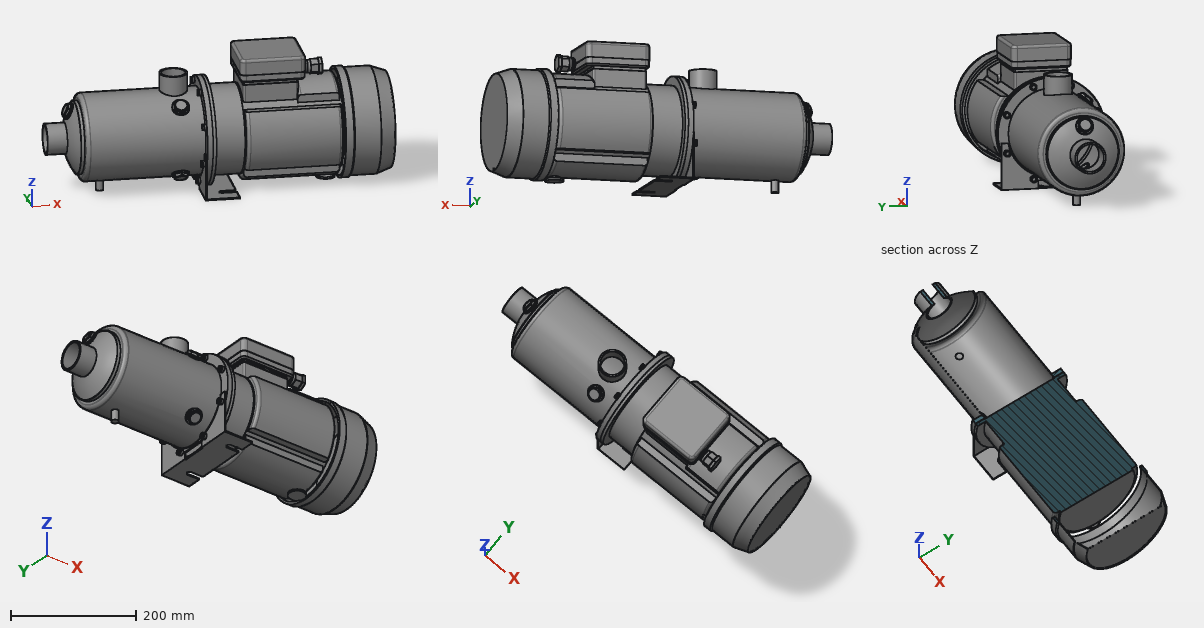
import cadquery as cq
import math


inlet_outer_d = 50.5
inlet_bore_d = 44.5
outlet_outer_d = 45.0
outlet_bore_d = 39.0
outlet_x = 208.0
outlet_top_z = 100.0
drain_d = 12.0
drain_x = 88.5
barrel_d = 143.0
barrel_bore_d = 140.0
casing_wall = (barrel_d - barrel_bore_d) / 2
barrel_start_x = 54.0
barrel_edge_r = 7.0
dome_rim_r = 59.5
dome_rim_x = 48.0
dome_sphere_r = 102.0
dome_center_x = dome_rim_x + math.sqrt(dome_sphere_r**2 - dome_rim_r**2)
flange_d = 176.5
flange_x = 248.0
flange_split_x = 256.5
ground_z = -90.5

screw_count = 8
screw_circle_r = 80.5
screw_d = 10.0
screw_shank_d = 5.0
screw_head_h = 6.0
socket_d = 7.0
socket_depth = 3.0

plug_collar_d = 28.0
plug_collar_h = 3.0
plug_hex_corner_d = 24.0
plug_top_d = 19.0
plug_h = 8.5
plug_seat_depth = 3.5
plug_stem_d = 20.0
side_plug_x = 211.5
side_plug_angle = 51
dome_plug_angle = 26

sheet = 2.0
bracket_width = 165.5
bracket_top_z = -15.0
bracket_end_x = 301.0
bracket_arch_r = 73.5
window_width = 45.0
window_top_z = -77.0
slot_width = 10.0
slot_y = 51.5
slot_length = 28.0

adaptor_flange_end_x = 262.0
adaptor_d = 146.5
adaptor_end_x = 311.0
motor_core_d = 146.0
pad_d = 166.0
pad_width = 98.5
pad_start_x = 313.5
pad_end_x = 469.0
pad_edge_r = 5.0
pedestal_end_x = 403.0
top_pad_start_x = 401.0
pedestal_width = 89.0
pedestal_top_z = 87.0
pedestal_corner_r = 3.5
neck_inset = 1.5
foot_x = 454.5
foot_d = 30.0
foot_rim_h = 3.5
foot_stem_d = 13.0

box_start_x = 308.5
box_length = 106.0
box_width = 99.0
box_bottom_z = 92.0
box_top_z = 131.0
box_corner_r = 8.5
box_top_edge_r = 4.5
box_bottom_edge = 3.0
lid_joint_z = 105.0
lid_overhang = 0.5
gland_y = -24.5
gland_z = 105.5
gland_start_x = box_start_x + box_length
gland_neck_d = 17.0
gland_neck_length = 2.0
gland_collar_d = 20.0
gland_collar_length = 3.5
gland_ring_d = 21.0
gland_ring_length = 5.0
gland_body_corner_d = 25.0
gland_body_length = 13.0
gland_nut_corner_d = 28.5
gland_nut_length = 5.5

cover_start_x = 472.0
cover_ring_end_x = 485.0
cover_ring_d = 179.0
cover_d = 174.0
cover_step = 2.0
cover_cone_x = 530.0
cover_end_x = 554.5
cover_end_d = 156.5
cover_wall = 1.5
nub_d = 2.0
nub_z = -75.5
overall_length = 555.5


def rod(x0, x1, diameter, y=0, z=0):
    """Cylinder along X."""
    return cq.Workplane("YZ", origin=(x0, y, z)).circle(diameter / 2).extrude(x1 - x0)


def block(x0, x1, y0, y1, z0, z1):
    """Box between two opposite corners."""
    return cq.Workplane("XY").box(x1 - x0, y1 - y0, z1 - z0, centered=False).translate((x0, y0, z0))


def dome_x(radius, sphere_r):
    """X of the dome's sphere at a distance from the shaft axis."""
    return dome_center_x - math.sqrt(sphere_r**2 - radius**2)


screw_points = [
    (
        screw_circle_r * math.cos(math.radians((i + 0.5) * 360 / screw_count)),
        screw_circle_r * math.sin(math.radians((i + 0.5) * 360 / screw_count)),
    )
    for i in range(screw_count)
]


def seat_x(z):
    """Face under a screw head: the bracket for the low screws, otherwise the flange."""
    return flange_x - sheet if z < bracket_top_z else flange_x


def revolved_shell(inset):
    """Solid of the dome and barrel, moved inward by the inset."""
    rim_r = dome_rim_r - inset
    barrel_r = barrel_d / 2 - inset
    sphere_r = dome_sphere_r - inset
    edge_r = barrel_edge_r - inset
    shoulder_x = barrel_start_x + inset
    corner = edge_r * math.sqrt(0.5)
    return (
        cq.Workplane("XY")
        .moveTo(dome_center_x - sphere_r, 0)
        .threePointArc((dome_x(rim_r / 2, sphere_r), rim_r / 2), (dome_x(rim_r, sphere_r), rim_r))
        .lineTo(shoulder_x, rim_r)
        .lineTo(shoulder_x, barrel_r - edge_r)
        .threePointArc(
            (shoulder_x + edge_r - corner, barrel_r - edge_r + corner),
            (shoulder_x + edge_r, barrel_r),
        )
        .lineTo(flange_split_x, barrel_r)
        .lineTo(flange_split_x, 0)
        .close()
        .revolve(360, (0, 0, 0), (1, 0, 0))
    )


def make_screw(y, z):
    """Socket head with a shank that reaches through to the back of the casing flange."""
    seat = seat_x(z)
    head = rod(seat - screw_head_h, seat, screw_d, y, z)
    socket = (
        cq.Workplane("YZ", origin=(seat - screw_head_h, y, z)).circle(socket_d / 2).extrude(socket_depth)
    )
    return head.cut(socket).union(rod(seat, flange_split_x, screw_shank_d, y, z))


def make_casing():
    """Hollow casing with inlet, outlet, drain, flange and its screws."""
    casing = revolved_shell(0)
    casing = casing.union(rod(0, dome_rim_x, inlet_outer_d))
    outlet = cq.Workplane("XY").center(outlet_x, 0).circle(outlet_outer_d / 2).extrude(outlet_top_z)
    drain = cq.Workplane("XY").center(drain_x, 0).circle(drain_d / 2).extrude(ground_z)
    casing = casing.union(outlet).union(drain)
    casing = casing.union(rod(flange_x, flange_split_x, flange_d))
    casing = casing.cut(revolved_shell(casing_wall)).cut(rod(0, dome_rim_x, inlet_bore_d))
    outlet_bore = cq.Workplane("XY").center(outlet_x, 0).circle(outlet_bore_d / 2).extrude(outlet_top_z)
    casing = casing.cut(outlet_bore)
    for y, z in screw_points:
        casing = casing.union(make_screw(y, z))
    return casing


def plug_planes():
    """Seat of each plug on the casing skin, with the plane normal pointing outward."""
    planes = []
    for angle in (side_plug_angle, -side_plug_angle):
        out = cq.Vector(0, -math.cos(math.radians(angle)), math.sin(math.radians(angle)))
        planes.append(cq.Plane(cq.Vector(side_plug_x, 0, 0) + out * (barrel_d / 2), (1, 0, 0), out))
    out = cq.Vector(-math.cos(math.radians(dome_plug_angle)), 0, math.sin(math.radians(dome_plug_angle)))
    planes.append(cq.Plane(cq.Vector(dome_center_x, 0, 0) + out * dome_sphere_r, (0, 1, 0), out))
    return planes


def make_plug(plane):
    """Round collar, stem in the casing, and a hexagonal head bevelled to a round top."""
    collar = cq.Workplane(plane).circle(plug_collar_d / 2).extrude(plug_collar_h)
    stem = cq.Workplane(plane).circle(plug_stem_d / 2).extrude(-plug_seat_depth)
    head = (
        cq.Workplane(plane)
        .transformed(rotate=(0, 0, 90))
        .polygon(6, plug_hex_corner_d)
        .extrude(plug_h)
    )
    bevel = (plug_hex_corner_d - plug_top_d) / 2
    cone = (
        cq.Workplane(plane)
        .circle(plug_hex_corner_d / 2)
        .extrude(plug_h)
        .faces(cq.selectors.DirectionMinMaxSelector(plane.zDir, True))
        .chamfer(bevel)
    )
    return collar.union(stem).union(head.intersect(cone))


def make_bracket():
    """Bent sheet foot, arched around the barrel, with two open bolt slots in its base."""
    half = bracket_width / 2
    x0 = flange_x - sheet
    bracket = block(x0, flange_x, -half, half, ground_z, bracket_top_z)
    bracket = bracket.union(block(x0, bracket_end_x, -half, half, ground_z, ground_z + sheet))
    bracket = bracket.cut(rod(x0, flange_x, 2 * bracket_arch_r))
    bracket = bracket.cut(block(x0, flange_x, -window_width / 2, window_width / 2, ground_z, window_top_z))
    for y in (-slot_y, slot_y):
        slot = (
            cq.Workplane("XY", origin=(bracket_end_x, y, ground_z))
            .slot2D(2 * slot_length, slot_width)
            .extrude(sheet)
        )
        bracket = bracket.cut(slot)
    for y, z in screw_points:
        if z < bracket_top_z:
            bracket = bracket.cut(rod(x0, flange_x, screw_shank_d, y, z))
    return bracket


def make_foot():
    """Rubber foot of revolution under the motor."""
    pad_bottom_z = -pad_d / 2
    return (
        cq.Workplane("XZ", origin=(foot_x, 0, 0))
        .moveTo(0, ground_z)
        .lineTo(foot_d / 2, ground_z)
        .lineTo(foot_d / 2, ground_z + foot_rim_h)
        .lineTo(foot_stem_d / 2, pad_bottom_z)
        .lineTo(foot_stem_d / 2, -motor_core_d / 2)
        .lineTo(0, -motor_core_d / 2)
        .close()
        .revolve(360, (0, 0, 0), (0, 1, 0))
    )


def make_motor():
    """Adaptor, core, pads, terminal pedestal and foot."""
    motor = rod(flange_split_x, adaptor_flange_end_x, flange_d)
    motor = motor.union(rod(flange_split_x, adaptor_end_x, adaptor_d))
    motor = motor.union(rod(flange_split_x, cover_start_x, motor_core_d))

    half = pad_width / 2
    reach = pad_d / 2
    pad_body = rod(pad_start_x, pad_end_x, pad_d).edges().fillet(pad_edge_r)
    across = block(pad_start_x, pad_end_x, -reach, reach, -half, half)
    below = block(pad_start_x, pad_end_x, -half, half, -reach, 0)
    top_body = rod(top_pad_start_x, pad_end_x, pad_d).edges().fillet(pad_edge_r)
    above = block(top_pad_start_x, pad_end_x, -half, half, 0, reach)
    motor = motor.union(pad_body.intersect(across.union(below))).union(top_body.intersect(above))

    length = pedestal_end_x - pad_start_x
    pedestal = (
        cq.Workplane("XY", origin=(pad_start_x + length / 2, 0, 0))
        .rect(length, pedestal_width)
        .extrude(pedestal_top_z)
        .edges("|Z")
        .fillet(pedestal_corner_r)
    )
    neck = (
        pedestal.faces(">Z")
        .workplane()
        .rect(length - 2 * neck_inset, pedestal_width - 2 * neck_inset)
        .extrude(box_bottom_z - pedestal_top_z, combine=False)
    )
    return motor.union(pedestal).union(neck).union(make_foot())


def rounded_box(length, width, z0, z1):
    """Block about the terminal box center with rounded upright edges."""
    return (
        cq.Workplane("XY", origin=(box_start_x + box_length / 2, 0, z0))
        .rect(length, width)
        .extrude(z1 - z0)
        .edges("|Z")
        .fillet(box_corner_r)
    )


def hex_bar(x0, x1, corner_d, y, z):
    """Hexagonal bar along X with corners pointing up and down."""
    return (
        cq.Workplane("YZ", origin=(x0, y, z))
        .transformed(rotate=(0, 0, 90))
        .polygon(6, corner_d)
        .extrude(x1 - x0)
    )


def make_gland():
    """Cable gland: round neck, collar and ring, then a hexagonal body and nut."""
    collar_x = gland_start_x + gland_neck_length
    ring_x = collar_x + gland_collar_length
    body_x = ring_x + gland_ring_length
    nut_x = body_x + gland_body_length
    neck = rod(gland_start_x, collar_x, gland_neck_d, gland_y, gland_z)
    collar = rod(collar_x, ring_x, gland_collar_d, gland_y, gland_z)
    ring = rod(ring_x, body_x, gland_ring_d, gland_y, gland_z)
    body = hex_bar(body_x, nut_x, gland_body_corner_d, gland_y, gland_z)
    nut = hex_bar(nut_x, nut_x + gland_nut_length, gland_nut_corner_d, gland_y, gland_z)
    return neck.union(collar).union(ring).union(body).union(nut)


def make_terminal_box():
    """Lid over a slightly smaller tray, with the cable gland on its end."""
    lid = rounded_box(box_length, box_width, lid_joint_z, box_top_z)
    lid = lid.faces(">Z").edges().fillet(box_top_edge_r)
    inner = 2 * lid_overhang
    tray = rounded_box(box_length - inner, box_width - inner, box_bottom_z, lid_joint_z)
    tray = tray.faces("<Z").edges().chamfer(box_bottom_edge)
    return lid.union(tray).union(make_gland())


def make_fan_cover():
    """Thin cup, open toward the motor, with a small nub on its end wall."""
    cover = (
        cq.Workplane("XY")
        .moveTo(cover_start_x, 0)
        .lineTo(cover_start_x, cover_ring_d / 2)
        .lineTo(cover_ring_end_x, cover_ring_d / 2)
        .lineTo(cover_ring_end_x + cover_step, cover_d / 2)
        .lineTo(cover_cone_x, cover_d / 2)
        .lineTo(cover_end_x, cover_end_d / 2)
        .lineTo(cover_end_x, 0)
        .close()
        .revolve(360, (0, 0, 0), (1, 0, 0))
    )
    cavity = (
        cq.Workplane("XY")
        .moveTo(cover_start_x, 0)
        .lineTo(cover_start_x, cover_d / 2 - cover_wall)
        .lineTo(cover_cone_x, cover_d / 2 - cover_wall)
        .lineTo(cover_end_x - cover_wall, cover_end_d / 2 - cover_wall)
        .lineTo(cover_end_x - cover_wall, 0)
        .close()
        .revolve(360, (0, 0, 0), (1, 0, 0))
    )
    nub = rod(cover_end_x - cover_wall, overall_length, nub_d, 0, nub_z)
    return cover.cut(cavity).union(nub)


plugs = [make_plug(plane) for plane in plug_planes()]
casing = make_casing()
for plug in plugs:
    casing = casing.cut(plug)
bracket = make_bracket()
motor = make_motor()
terminal_box = make_terminal_box()
fan_cover = make_fan_cover()

result = cq.Compound.makeCompound(
    [
        casing.val(),
        *[plug.val() for plug in plugs],
        bracket.val(),
        motor.val(),
        terminal_box.val(),
        fan_cover.val(),
    ]
)